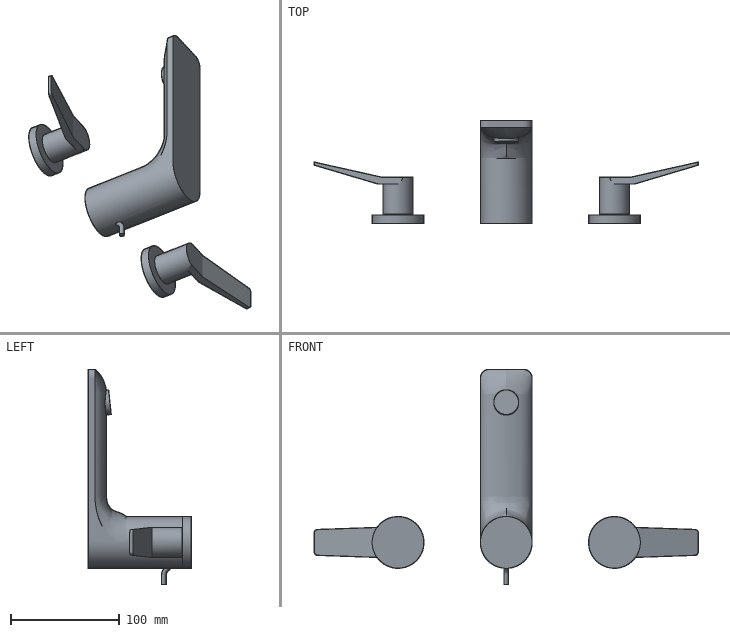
import cadquery as cq
import math


BODY_RADIUS = 24.0
BODY_DEPTH = 95.41
ARM_TOP = 160.0
TOTAL_HEIGHT = 199.1
SLAB_THICKNESS = 6.4
SLAB_FRONT = BODY_DEPTH - SLAB_THICKNESS
SLAB_CORNER_RADIUS = 8.0
ARM_FRONT = 78.3
SHOULDER_HALF_WIDTH = 14.3
SHOULDER_SETBACK = 2.15
CAP_BOTTOM = 137.0
ELBOW_RADIUS = 18.0
ELBOW_START = ARM_FRONT - ELBOW_RADIUS
ELBOW_TOP = BODY_RADIUS + ELBOW_RADIUS

AERATOR_RADIUS = 11.5
AERATOR_THICKNESS = 5.0
AERATOR_FACE_Y = 75.2
AERATOR_Z = 129.7
AERATOR_TILT = 6.2

ROD_RADIUS = 2.25
ROD_Y = 25.4
ROD_BOTTOM = ARM_TOP - TOTAL_HEIGHT
ROD_BEND_BOTTOM = -30.2
ROD_BEND_RADIUS = 7.0
ROD_BEND_ANGLE = 45.0
ROD_INNER_RUN = 6.0

TOTAL_WIDTH = 355.11
HANDLE_SPACING = 100.0
FLANGE_RADIUS = 24.0
FLANGE_THICKNESS = 8.0
HUB_RADIUS = 14.0
HUB_TOP = 43.0
LEVER_ROOT_THICKNESS = 6.5
LEVER_REACH = TOTAL_WIDTH / 2 - HANDLE_SPACING
LEVER_TIP_TOP = 57.0
LEVER_TIP_THICKNESS = 3.0
LEVER_TOP_KNEE = 15.0
LEVER_BOTTOM_KNEE = 18.5
LEVER_TIP_HALF_WIDTH = 11.6
LEVER_TIP_CORNER = 3.0
HUB_GAP = 0.6


def arm_half_section(z):
    """Edges of the arm's rounded front at height z, from the middle out to its side."""
    apex = cq.Vector(0, ARM_FRONT, z)
    shoulder = cq.Vector(SHOULDER_HALF_WIDTH, ARM_FRONT + SHOULDER_SETBACK, z)
    side = cq.Vector(BODY_RADIUS, SLAB_FRONT, z)
    middle_arc = cq.Edge.makeTangentArc(apex, cq.Vector(1, 0, 0), shoulder)
    side_arc = cq.Edge.makeTangentArc(shoulder, middle_arc.tangentAt(1), side)
    return [middle_arc, side_arc]


def line(start, end):
    return cq.Edge.makeLine(cq.Vector(*start), cq.Vector(*end))


def flat_face(edges):
    return cq.Face.makeFromWires(cq.Wire.assembleEdges(edges))


def closed_solid(faces):
    shell = cq.Shell.makeShell(faces)
    return cq.Workplane(cq.Solid.makeSolid(shell))


def with_mirror(half):
    return half.union(half.mirror("YZ"))


def make_arm():
    """Straight length of the arm in front of the slab, between the elbow and the cap."""
    section = arm_half_section(ELBOW_TOP)
    section.append(line((BODY_RADIUS, SLAB_FRONT, ELBOW_TOP), (0, SLAB_FRONT, ELBOW_TOP)))
    section.append(line((0, SLAB_FRONT, ELBOW_TOP), (0, ARM_FRONT, ELBOW_TOP)))
    height = cq.Vector(0, 0, CAP_BOTTOM - ELBOW_TOP)
    half = cq.Workplane(cq.Solid.extrudeLinear(cq.Wire.assembleEdges(section), [], height))
    return with_mirror(half)


def make_cap():
    """Domed end of the arm, falling back to the rounded outline of the slab."""
    rise = ARM_TOP - CAP_BOTTOM
    setback = SLAB_FRONT - ARM_FRONT
    radius = (rise**2 + setback**2) / (2 * setback)
    half_angle = math.asin(rise / radius) / 2
    section = arm_half_section(CAP_BOTTOM)
    ridge = cq.Edge.makeThreePointArc(
        cq.Vector(0, ARM_FRONT, CAP_BOTTOM),
        cq.Vector(
            0,
            ARM_FRONT + radius * (1 - math.cos(half_angle)),
            CAP_BOTTOM + radius * math.sin(half_angle),
        ),
        cq.Vector(0, SLAB_FRONT, ARM_TOP),
    )
    corner_x = BODY_RADIUS - SLAB_CORNER_RADIUS
    corner_z = ARM_TOP - SLAB_CORNER_RADIUS
    corner_reach = SLAB_CORNER_RADIUS * math.sqrt(0.5)
    corner = cq.Edge.makeThreePointArc(
        cq.Vector(BODY_RADIUS, SLAB_FRONT, corner_z),
        cq.Vector(corner_x + corner_reach, SLAB_FRONT, corner_z + corner_reach),
        cq.Vector(corner_x, SLAB_FRONT, ARM_TOP),
    )
    rim = [
        line((BODY_RADIUS, SLAB_FRONT, CAP_BOTTOM), (BODY_RADIUS, SLAB_FRONT, corner_z)),
        corner,
        line((corner_x, SLAB_FRONT, ARM_TOP), (0, SLAB_FRONT, ARM_TOP)),
    ]
    bottom_back = line((0, SLAB_FRONT, CAP_BOTTOM), (BODY_RADIUS, SLAB_FRONT, CAP_BOTTOM))
    middle_front = line((0, SLAB_FRONT, CAP_BOTTOM), (0, ARM_FRONT, CAP_BOTTOM))
    middle_back = line((0, SLAB_FRONT, CAP_BOTTOM), (0, SLAB_FRONT, ARM_TOP))
    half = closed_solid([
        cq.Face.makeNSidedSurface([ridge, *section, *rim], []),
        flat_face([*section, bottom_back, middle_front]),
        flat_face([ridge, middle_front, middle_back]),
        flat_face([*rim, bottom_back, middle_back]),
    ])
    return with_mirror(half)


def make_elbow():
    """Blend from the arm's rounded front into the upper half of the round body."""
    section = arm_half_section(ELBOW_TOP)
    throat = cq.Edge.makeCircle(
        ELBOW_RADIUS, cq.Vector(0, ELBOW_START, ELBOW_TOP), cq.Vector(1, 0, 0), 270, 360
    )
    side_depth = SLAB_FRONT - ELBOW_START

    def side_curve(x):
        return cq.Edge.makeEllipse(
            side_depth,
            ELBOW_TOP,
            cq.Vector(x, ELBOW_START, ELBOW_TOP),
            cq.Vector(1, 0, 0),
            cq.Vector(0, 1, 0),
            270,
            360,
        )

    side = side_curve(BODY_RADIUS)
    middle = side_curve(0)
    round_end = cq.Edge.makeThreePointArc(
        cq.Vector(0, ELBOW_START, BODY_RADIUS),
        cq.Vector(BODY_RADIUS * math.sqrt(0.5), ELBOW_START, BODY_RADIUS * math.sqrt(0.5)),
        cq.Vector(BODY_RADIUS, ELBOW_START, 0),
    )
    top_back = line((0, SLAB_FRONT, ELBOW_TOP), (BODY_RADIUS, SLAB_FRONT, ELBOW_TOP))
    top_middle = line((0, SLAB_FRONT, ELBOW_TOP), (0, ARM_FRONT, ELBOW_TOP))
    end_floor = line((0, ELBOW_START, 0), (BODY_RADIUS, ELBOW_START, 0))
    end_middle = line((0, ELBOW_START, 0), (0, ELBOW_START, BODY_RADIUS))
    half = closed_solid([
        cq.Face.makeNSidedSurface([throat, *section, side, round_end], []),
        flat_face([*section, top_back, top_middle]),
        flat_face([round_end, end_floor, end_middle]),
        flat_face([throat, top_middle, middle, end_middle]),
        cq.Face.makeRuledSurface(middle, side),
    ])
    return with_mirror(half)


def make_heel():
    """Flat-sided block that fills the space behind the elbow's elliptical back."""
    side_depth = SLAB_FRONT - ELBOW_START
    return (
        cq.Workplane("YZ", origin=(-BODY_RADIUS, 0, 0))
        .moveTo(ELBOW_START, 0)
        .ellipseArc(side_depth, ELBOW_TOP, 270, 360, startAtCurrent=True)
        .lineTo(BODY_DEPTH, ELBOW_TOP)
        .lineTo(BODY_DEPTH, 0)
        .close()
        .extrude(2 * BODY_RADIUS)
    )


def make_slab():
    """Flat back of the arm with rounded upper corners."""
    slab = cq.Workplane("XY").box(
        2 * BODY_RADIUS, SLAB_THICKNESS, ARM_TOP, centered=(True, False, False)
    )
    slab = slab.edges("|Y and >Z").fillet(SLAB_CORNER_RADIUS)
    return slab.translate((0, SLAB_FRONT, 0))


def cylinder_along_y(radius, length):
    return cq.Workplane("XZ").circle(radius).extrude(-length)


def make_body():
    """Round body: a full cylinder to the elbow, its lower half running on to the back."""
    front = cylinder_along_y(BODY_RADIUS, ELBOW_START)
    lower = cylinder_along_y(BODY_RADIUS, BODY_DEPTH)
    upper_half = cq.Workplane("XY").box(
        4 * BODY_RADIUS, 4 * BODY_DEPTH, BODY_RADIUS, centered=(True, True, False)
    )
    return front.union(lower.cut(upper_half))


def make_aerator():
    """Disc on the arm's front, its face leaning down and out."""
    disc = cylinder_along_y(AERATOR_RADIUS, AERATOR_THICKNESS)
    disc = disc.rotate((0, 0, 0), (1, 0, 0), -AERATOR_TILT)
    return disc.translate((0, AERATOR_FACE_Y, AERATOR_Z))


def make_rod():
    """Pop-up rod: upright below the body, bent forward where it enters."""
    angle = math.radians(ROD_BEND_ANGLE)
    bend_mid = (
        ROD_Y - ROD_BEND_RADIUS * (1 - math.cos(angle / 2)),
        ROD_BEND_BOTTOM + ROD_BEND_RADIUS * math.sin(angle / 2),
    )
    bend_end = (
        ROD_Y - ROD_BEND_RADIUS * (1 - math.cos(angle)),
        ROD_BEND_BOTTOM + ROD_BEND_RADIUS * math.sin(angle),
    )
    path = (
        cq.Workplane("YZ")
        .moveTo(ROD_Y, ROD_BOTTOM)
        .lineTo(ROD_Y, ROD_BEND_BOTTOM)
        .threePointArc(bend_mid, bend_end)
        .line(-ROD_INNER_RUN * math.sin(angle), ROD_INNER_RUN * math.cos(angle))
    )
    start = cq.Workplane("XY", origin=(0, ROD_Y, ROD_BOTTOM))
    return start.circle(ROD_RADIUS).sweep(path)


def make_flange():
    """Round mounting flange of one handle, on the handle's own axis."""
    return cylinder_along_y(FLANGE_RADIUS, FLANGE_THICKNESS)


def make_handle():
    """Hub and lever of one handle on its own axis, with the lever pointing to +X."""
    hub_bottom = FLANGE_THICKNESS + HUB_GAP
    lever_bottom = HUB_TOP - LEVER_ROOT_THICKNESS
    hub = cylinder_along_y(HUB_RADIUS, HUB_TOP - hub_bottom)
    hub = hub.translate((0, hub_bottom, 0))
    lever = (
        cq.Workplane("XY", origin=(0, 0, -HUB_RADIUS))
        .moveTo(0, HUB_TOP)
        .lineTo(LEVER_TOP_KNEE, HUB_TOP)
        .lineTo(LEVER_REACH, LEVER_TIP_TOP)
        .lineTo(LEVER_REACH, LEVER_TIP_TOP - LEVER_TIP_THICKNESS)
        .lineTo(LEVER_BOTTOM_KNEE, lever_bottom)
        .lineTo(0, lever_bottom)
        .close()
        .extrude(2 * HUB_RADIUS)
    )
    side_planes = (
        cq.Workplane("YZ", origin=(-HUB_RADIUS, 0, 0))
        .moveTo(0, HUB_RADIUS)
        .lineTo(lever_bottom, HUB_RADIUS)
        .lineTo(LEVER_TIP_TOP, LEVER_TIP_HALF_WIDTH)
        .lineTo(LEVER_TIP_TOP, -LEVER_TIP_HALF_WIDTH)
        .lineTo(lever_bottom, -HUB_RADIUS)
        .lineTo(0, -HUB_RADIUS)
        .close()
        .extrude(HUB_RADIUS + LEVER_REACH)
    )
    lever = lever.intersect(side_planes)
    lever = lever.faces(">X").edges("not |Z").fillet(LEVER_TIP_CORNER)
    return hub.intersect(side_planes).union(lever)


aerator = make_aerator()
rod = make_rod()
spout = make_body().union(make_heel()).union(make_slab()).union(make_arm())
spout = spout.union(make_elbow()).union(make_cap())
spout = spout.cut(aerator).cut(rod)

flanges = []
handles = []
for bodies, part in ((flanges, make_flange()), (handles, make_handle())):
    right_part = part.translate((HANDLE_SPACING, 0, 0))
    bodies += [right_part.val(), right_part.mirror("YZ").val()]

result = cq.Compound.makeCompound([spout.val(), aerator.val(), rod.val(), *flanges, *handles])